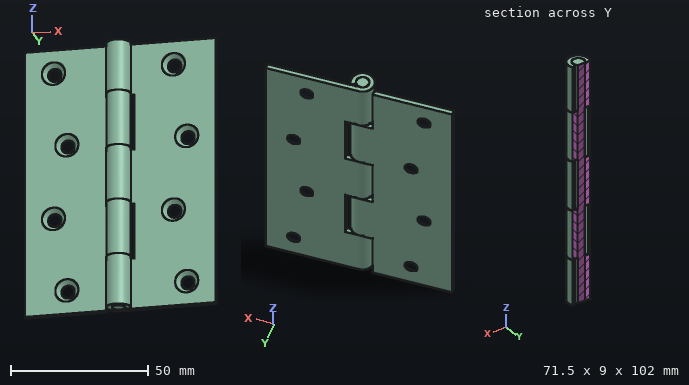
import cadquery as cq
import math

hinge_length = 102.0
hinge_width = 71.5
sheet = 2.0

barrel_radius = 4.5
pin_radius = barrel_radius - sheet
inner_knuckle = 21.0
knuckle_count = 5
end_knuckle = (hinge_length - (knuckle_count - 2) * inner_knuckle) / 2
relief_reach = 5.3
tip_angle = math.radians(32)

hole_diameter = 4.8
countersink_diameter = 8.7
near_column = 20.0
far_column = 25.0
hole_rows = 4
end_margin = 9.0
row_pitch = (hinge_length - 2 * end_margin) / (hole_rows - 1)


def knuckle_range(index):
    """Bottom and top Z of a knuckle, counted from the bottom."""
    inner_start = -hinge_length / 2 + end_knuckle
    bottom = inner_start + (index - 1) * inner_knuckle
    top = bottom + inner_knuckle
    return max(bottom, -hinge_length / 2), min(top, hinge_length / 2)


def polar(radius, angle):
    return radius * math.cos(angle), radius * math.sin(angle)


def rolled_strip(index):
    """Flat strip running from +X and rolled around the pin to form one knuckle."""
    bottom, top = knuckle_range(index)
    roll_middle = (math.pi / 2 + tip_angle + 2 * math.pi) / 2
    return (
        cq.Workplane("XY")
        .workplane(offset=bottom)
        .moveTo(hinge_width / 2, barrel_radius)
        .lineTo(0, barrel_radius)
        .threePointArc(polar(barrel_radius, roll_middle), polar(barrel_radius, tip_angle))
        .lineTo(*polar(pin_radius, tip_angle))
        .threePointArc(polar(pin_radius, roll_middle), (0, pin_radius))
        .lineTo(hinge_width / 2, pin_radius)
        .close()
        .extrude(top - bottom)
    )


def countersunk_hole(x, z):
    """Cone through the sheet, widest on its -Y face."""
    return cq.Workplane(
        cq.Solid.makeCone(
            countersink_diameter / 2,
            hole_diameter / 2,
            sheet,
            pnt=cq.Vector(x, pin_radius, z),
            dir=cq.Vector(0, 1, 0),
        )
    )


def make_leaf(knuckles, first_column, second_column):
    """Leaf on the +X side; its hole columns alternate from the top row down."""
    plate_width = hinge_width / 2 - relief_reach
    leaf = cq.Workplane("XY").box(plate_width, sheet, hinge_length).translate(
        (relief_reach + plate_width / 2, barrel_radius - sheet / 2, 0)
    )
    for index in knuckles:
        leaf = leaf.union(rolled_strip(index))
    for row in range(hole_rows):
        x = first_column if row % 2 == 0 else second_column
        z = hinge_length / 2 - end_margin - row * row_pitch
        leaf = leaf.cut(countersunk_hole(x, z))
    return leaf.clean()


def make_pin():
    return cq.Workplane("XY").circle(pin_radius).extrude(hinge_length / 2, both=True)


right_leaf = make_leaf(range(0, knuckle_count, 2), near_column, far_column)
left_leaf = make_leaf(range(1, knuckle_count, 2), far_column, near_column).mirror("YZ")
pin = make_pin()

bodies = [right_leaf, left_leaf, pin]
result = cq.Compound.makeCompound([body.solids().val() for body in bodies])